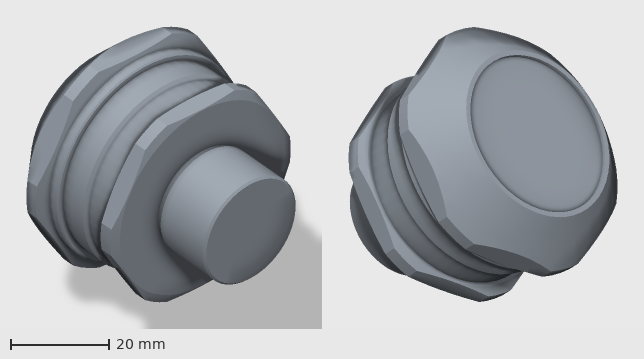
import cadquery as cq

length = 47.25

rim_diameter = 36.65
recess_diameter = 34.5
recess_depth = 1.0

cap_flats = 50.05
cap_corner_diameter = 53.75
cap_corner_front = 8.5
cap_corner_back = 11.4
cap_back = 12.4

flange_diameter = 48.0
flange_back = 14.9
flange_chamfer = 0.3
barrel_diameter = 44.9
barrel_back = 20.95
sleeve_diameter = 43.1
sleeve_front = 21.8

body_flats = 45.05
body_corner_diameter = 48.6
body_face_diameter = 44.6
body_front = 27.8
body_back = 32.3
body_front_bevel = 0.8
body_back_bevel = 0.65

neck_diameter = 24.0
neck_back = 33.3
spigot_front = 33.65
spigot_diameter = 25.0
spigot_chamfer = 0.5


def revolve_profile(points):
    """Turn an outline of (x, radius) points into a solid about the X axis."""
    return cq.Workplane("XY").polyline(points).close().revolve(360, (0, 0), (1, 0))


def cylinder(start, end, diameter):
    """Round bar along X from start to end."""
    return cq.Workplane("YZ").workplane(offset=start).circle(diameter / 2).extrude(end - start)


def hexagon(start, end, flats):
    """Hexagonal bar along X with two corners on the Y axis."""
    return (
        cq.Workplane("YZ").workplane(offset=start)
        .polygon(6, flats, circumscribed=True)
        .extrude(end - start)
        .rotate((0, 0, 0), (1, 0, 0), 30)
    )


def make_cap():
    """Hexagonal cap trimmed by a front cone, rounded corners and a back bevel."""
    envelope = revolve_profile([
        (0, 0),
        (0, rim_diameter / 2),
        (cap_corner_front, cap_corner_diameter / 2),
        (cap_corner_back, cap_corner_diameter / 2),
        (cap_back, flange_diameter / 2),
        (cap_back, 0),
    ])
    cap = hexagon(0, cap_back, cap_flats).intersect(envelope)
    return cap.cut(cylinder(0, recess_depth, recess_diameter))


def make_barrel():
    """Stepped round body from the cap to the body hexagon."""
    flange = cylinder(cap_back, flange_back, flange_diameter).faces(">X").chamfer(flange_chamfer)
    barrel = revolve_profile([
        (flange_back, 0),
        (flange_back, barrel_diameter / 2),
        (barrel_back, barrel_diameter / 2),
        (sleeve_front, sleeve_diameter / 2),
        (body_front, sleeve_diameter / 2),
        (body_front, 0),
    ])
    return flange.union(barrel)


def make_body_hexagon():
    """Hexagon with rounded corners and bevelled front and back edges."""
    envelope = revolve_profile([
        (body_front, 0),
        (body_front, body_face_diameter / 2),
        (body_front + body_front_bevel, body_corner_diameter / 2),
        (body_back - body_back_bevel, body_corner_diameter / 2),
        (body_back, body_face_diameter / 2),
        (body_back, 0),
    ])
    return hexagon(body_front, body_back, body_flats).intersect(envelope)


def make_spigot():
    """Neck flaring to a larger round spigot with a chamfered free end."""
    return revolve_profile([
        (body_back, 0),
        (body_back, neck_diameter / 2),
        (neck_back, neck_diameter / 2),
        (spigot_front, spigot_diameter / 2),
        (length - spigot_chamfer, spigot_diameter / 2),
        (length, spigot_diameter / 2 - spigot_chamfer),
        (length, 0),
    ])


result = make_cap().union(make_barrel()).union(make_body_hexagon()).union(make_spigot())